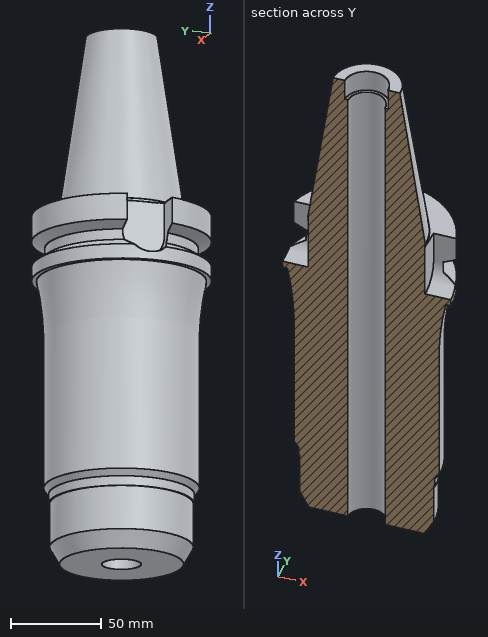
import cadquery as cq

total_height = 302.2

flange_diameter = 100.0
flange_radius = flange_diameter / 2
flange_top = 199.5
groove_radius = 42.5
groove_upper_edge = 184.5
groove_floor_top = 181.0
groove_floor_bottom = 175.0
groove_lower_edge = 170.5
flange_bottom = 162.3

taper_small_radius = 20.0
taper_large_radius = 35.0
taper_bottom = 201.0
relief_radius = 34.8

body_radius = 43.2
flare_top_radius = 47.0
flare_bottom = 130.2
flare_mid_z = (flange_bottom + flare_bottom) / 2
flare_mid_radius = 44.5
body_bottom = 43.5

collar_radius = 40.5
collar_top = 40.0
collar_bottom = 34.5
nose_radius = 40.0
nose_chamfer_top = 9.7
nose_face_radius = 34.5

bore_radius = 11.0
counterbore_radius = 12.7
counterbore_depth = 13.0

slot_width = 26.3
slot_floor_x = 34.8
slot_bottom = 166.8


def make_body():
    """Revolve the half outline about the Z axis."""
    return (
        cq.Workplane("XZ")
        .moveTo(0, 0)
        .lineTo(nose_face_radius, 0)
        .lineTo(nose_radius, nose_chamfer_top)
        .lineTo(nose_radius, collar_bottom)
        .lineTo(collar_radius, collar_bottom)
        .lineTo(collar_radius, collar_top)
        .lineTo(body_radius, body_bottom)
        .lineTo(body_radius, flare_bottom)
        .threePointArc((flare_mid_radius, flare_mid_z), (flare_top_radius, flange_bottom))
        .lineTo(flange_radius, flange_bottom)
        .lineTo(flange_radius, groove_lower_edge)
        .lineTo(groove_radius, groove_floor_bottom)
        .lineTo(groove_radius, groove_floor_top)
        .lineTo(flange_radius, groove_upper_edge)
        .lineTo(flange_radius, flange_top)
        .lineTo(relief_radius, flange_top)
        .lineTo(relief_radius, taper_bottom)
        .lineTo(taper_large_radius, taper_bottom)
        .lineTo(taper_small_radius, total_height)
        .lineTo(0, total_height)
        .close()
        .revolve(360, (0, 0, 0), (0, 1, 0))
    )


def make_slot_cutter():
    """Drive slot on the +X side, open at the flange top and rim."""
    half_width = slot_width / 2
    return (
        cq.Workplane("YZ", origin=(slot_floor_x, 0, 0))
        .moveTo(-half_width, flange_top)
        .lineTo(-half_width, slot_bottom + half_width)
        .threePointArc((0, slot_bottom), (half_width, slot_bottom + half_width))
        .lineTo(half_width, flange_top)
        .close()
        .extrude(flange_radius - slot_floor_x)
    )


def make_bore_cutter():
    """Through bore joined to the counterbore at the small end."""
    bore = cq.Workplane("XY").circle(bore_radius).extrude(total_height)
    counterbore = (
        cq.Workplane("XY", origin=(0, 0, total_height - counterbore_depth))
        .circle(counterbore_radius)
        .extrude(counterbore_depth)
    )
    return bore.union(counterbore)


result = make_body().cut(make_bore_cutter())
for slot_angle in (0, 180):
    result = result.cut(make_slot_cutter().rotate((0, 0, 0), (0, 0, 1), slot_angle))